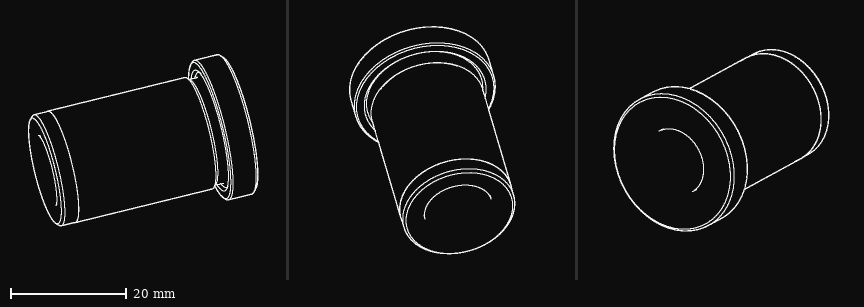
import cadquery as cq

total_length = 35.0
head_diameter = 25.0
head_thickness = 5.0
body_diameter = 20.0
pilot_diameter = 19.88
pilot_length = 3.0
bore_diameter = 12.0
bore_mouth_radius = 1.0

neck_diameter = 18.95
neck_length = 1.5
relief_depth = 0.5
relief_mouth_diameter = 21.6
relief_floor_diameter = 20.6
relief_fillet_radius = 0.5

edge_chamfer = 0.5
head_underside_chamfer = 0.3

head_radius = head_diameter / 2
body_radius = body_diameter / 2
pilot_radius = pilot_diameter / 2
neck_radius = neck_diameter / 2
relief_mouth_radius = relief_mouth_diameter / 2
relief_floor_radius = relief_floor_diameter / 2
bore_radius = bore_diameter / 2

head_y = head_thickness
pilot_end_y = head_thickness - total_length
pilot_start_y = pilot_end_y + pilot_length
shoulder_chamfer = body_radius - neck_radius


def turned_blank():
    """Solid of revolution with the outer profile, drawn from head to pilot."""
    profile = (
        cq.Workplane("XY")
        .moveTo(0, head_y)
        .lineTo(head_radius - edge_chamfer, head_y)
        .lineTo(head_radius, head_y - edge_chamfer)
        .lineTo(head_radius, head_underside_chamfer)
        .lineTo(head_radius - head_underside_chamfer, 0)
        .lineTo(relief_mouth_radius, 0)
        .lineTo(relief_floor_radius, relief_depth)
        .lineTo(neck_radius + relief_fillet_radius, relief_depth)
        .tangentArcPoint((neck_radius, relief_depth - relief_fillet_radius), relative=False)
        .lineTo(neck_radius, -neck_length)
        .lineTo(body_radius, -neck_length - shoulder_chamfer)
        .lineTo(body_radius, pilot_start_y)
        .lineTo(pilot_radius, pilot_start_y)
        .lineTo(pilot_radius, pilot_end_y + edge_chamfer)
        .lineTo(pilot_radius - edge_chamfer, pilot_end_y)
        .lineTo(0, pilot_end_y)
        .close()
    )
    return profile.revolve(360, (0, 0, 0), (0, 1, 0))


def cut_bore(blank):
    """Through bore with a rounded mouth at each end."""
    bored = blank.faces(">Y").workplane(origin=(0, head_y, 0)).hole(bore_diameter)
    mouth_edges = bored.faces("<Y or >Y").edges(cq.selectors.RadiusNthSelector(0))
    return mouth_edges.fillet(bore_mouth_radius)


result = cut_bore(turned_blank())